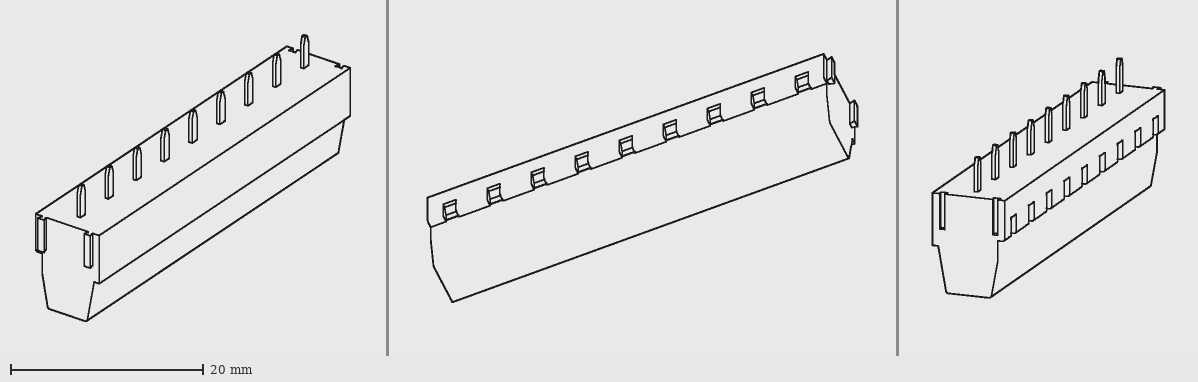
import cadquery as cq

overall_length = 45.6
poles = 9
housing_length = 45.0
pitch = housing_length / poles
housing_width = 8.1
housing_height = 10.7
bottom_width = 5.0
bottom_fillet = 0.3

skirt_bottom = 6.3
skirt_fillet = 0.27
left_wall_x = -3.25
taper_top = 3.95

right_step_z = 5.0
right_step_x = 3.4

window_width = 1.45
window_top = 8.4
window_inner_top = 7.45
window_depth = 0.78
window_ledge_depth = 0.4
window_floor_bottom = 6.5

rail_depth = overall_length - housing_length
rail_neck_depth = 0.15
rail_neck_width = 0.55
rail_outer_width = 0.8
rail_x = 2.95
rail_height = 3.85

pin_length = 3.6
pin_thickness = 0.4
pin_width = 0.9
pin_tip_width = 0.35
pin_tip_length = 0.9

half_width = housing_width / 2
half_length = housing_length / 2
pole_positions = [(i - (poles - 1) / 2) * pitch for i in range(poles)]


def make_housing():
    outline = [
        (-bottom_width / 2, 0),
        (bottom_width / 2, 0),
        (right_step_x, right_step_z),
        (half_width, right_step_z),
        (half_width, housing_height),
        (-half_width, housing_height),
        (-half_width, skirt_bottom),
        (left_wall_x, skirt_bottom),
        (left_wall_x, taper_top),
    ]
    body = (
        cq.Workplane("XZ")
        .polyline(outline)
        .close()
        .extrude(half_length, both=True)
    )
    body = body.faces("<Z").edges("|Y").fillet(bottom_fillet)
    skirt_corner = cq.selectors.NearestToPointSelector((-half_width, 0, skirt_bottom))
    return body.edges(skirt_corner).fillet(skirt_fillet)


def make_window(y):
    """Cutter for one window, open toward -X and through the bottom of the skirt."""
    floor_x = -half_width + window_depth
    ledge_x = -half_width + window_ledge_depth
    outline = [
        (-half_width, skirt_bottom),
        (left_wall_x, skirt_bottom),
        (left_wall_x, window_floor_bottom),
        (floor_x, window_floor_bottom),
        (floor_x, window_inner_top),
        (ledge_x, window_top),
        (-half_width, window_top),
    ]
    return (
        cq.Workplane("XZ", origin=(0, y, 0))
        .polyline(outline)
        .close()
        .extrude(window_width / 2, both=True)
    )


def make_rail(x, root_y):
    """Dovetail bar that starts at root_y, widens toward -Y and ends flush with the housing top."""
    flare_y = root_y - rail_neck_depth
    outer_y = root_y - rail_depth
    outline = [
        (x - rail_neck_width / 2, root_y),
        (x - rail_neck_width / 2, flare_y),
        (x - rail_outer_width / 2, outer_y),
        (x + rail_outer_width / 2, outer_y),
        (x + rail_neck_width / 2, flare_y),
        (x + rail_neck_width / 2, root_y),
    ]
    base = cq.Workplane("XY", origin=(0, 0, housing_height - rail_height))
    return base.polyline(outline).close().extrude(rail_height)


def make_pin(y):
    pin_top = housing_height + pin_length
    shoulder = pin_top - pin_tip_length
    outline = [
        (y - pin_width / 2, housing_height),
        (y + pin_width / 2, housing_height),
        (y + pin_width / 2, shoulder),
        (y + pin_tip_width / 2, pin_top),
        (y - pin_tip_width / 2, pin_top),
        (y - pin_width / 2, shoulder),
    ]
    return cq.Workplane("YZ").polyline(outline).close().extrude(pin_thickness / 2, both=True)


result = make_housing()
for y in pole_positions:
    result = result.cut(make_window(y)).union(make_pin(y))
for x in (-rail_x, rail_x):
    groove = make_rail(x, half_length)
    rail = make_rail(x, -half_length)
    result = result.cut(groove).union(rail)